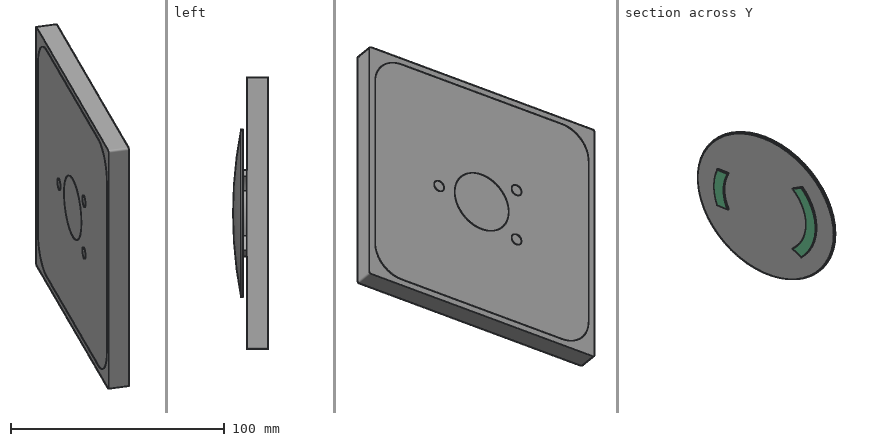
import cadquery as cq
import math

plate_size = 127.0
plate_thickness = 9.9
plate_corner_radius = 1.0

mark_depth = 0.1
panel_margin = 3.3
panel_size = plate_size - 2 * panel_margin
panel_corner_radius = 15.0
center_mark_diameter = 30.5
small_mark_diameter = 5.6
small_mark_circle_radius = 24.0
small_mark_angles = (-35, 35, 180)

spacer_height = 1.7
spacer_inner_radius = 23.5
spacer_outer_radius = 29.2
left_spacer_half_width = 10.4
right_spacer_corner_x = 20.8
right_spacer_corner_z = 20.2
right_spacer_end_angle = 30

total_depth = 16.5
disc_radius = 39.2
rim_thickness = 1.1
rim_chamfer = 0.4
disc_start = plate_thickness + spacer_height
rim_end = disc_start + rim_thickness


def front_plane(y):
    """Sketch plane parallel to the front face, with X right and Z up."""
    return cq.Workplane("XZ", origin=(0, y, 0))


def cylinder_along_y(diameter, start, length):
    """Cylinder along Y, starting at y = start."""
    return front_plane(start).circle(diameter / 2).extrude(-length)


def make_plate():
    plate = front_plane(0).rect(plate_size, plate_size).extrude(-plate_thickness)
    return plate.edges("|Y").fillet(plate_corner_radius)


def recess_front_outlines(body):
    """Recess the rounded panel, then the circles one step deeper."""
    panel = front_plane(0).rect(panel_size, panel_size).extrude(-mark_depth)
    body = body.cut(panel.edges("|Y").fillet(panel_corner_radius))
    circle_depth = 2 * mark_depth
    body = body.cut(cylinder_along_y(center_mark_diameter, 0, circle_depth))
    for angle in small_mark_angles:
        x = small_mark_circle_radius * math.cos(math.radians(angle))
        z = small_mark_circle_radius * math.sin(math.radians(angle))
        mark = cylinder_along_y(small_mark_diameter, 0, circle_depth)
        body = body.cut(mark.translate((x, 0, z)))
    return body


def make_spacers():
    """Two ring segments: a narrow one at -X and a wide one at +X."""
    ring = (
        front_plane(plate_thickness)
        .circle(spacer_outer_radius)
        .circle(spacer_inner_radius)
        .extrude(-spacer_height)
    )
    reach = disc_radius
    left_window = (
        front_plane(plate_thickness)
        .center(-reach / 2, 0)
        .rect(reach, 2 * left_spacer_half_width)
        .extrude(-spacer_height)
    )
    slope = math.tan(math.radians(right_spacer_end_angle))
    end_z_at_axis = right_spacer_corner_z - slope * right_spacer_corner_x
    end_z_at_reach = end_z_at_axis + slope * reach
    right_window = (
        front_plane(plate_thickness)
        .polyline([
            (0, -end_z_at_axis),
            (reach, -end_z_at_reach),
            (reach, end_z_at_reach),
            (0, end_z_at_axis),
        ])
        .close()
        .extrude(-spacer_height)
    )
    return ring.intersect(left_window.union(right_window))


def make_domed_disc():
    """Revolve a thin rim and a spherical crown about the Y axis."""
    crown_height = total_depth - rim_end
    sphere_radius = (disc_radius**2 + crown_height**2) / (2 * crown_height)
    middle_radius = disc_radius / 2
    middle_y = total_depth - sphere_radius + math.sqrt(sphere_radius**2 - middle_radius**2)
    return (
        cq.Workplane("XY")
        .moveTo(0, disc_start)
        .lineTo(disc_radius - rim_chamfer, disc_start)
        .lineTo(disc_radius, disc_start + rim_chamfer)
        .lineTo(disc_radius, rim_end)
        .threePointArc((middle_radius, middle_y), (0, total_depth))
        .close()
        .revolve(360, (0, 0, 0), (0, 1, 0))
    )


plate = recess_front_outlines(make_plate())
result = plate.union(make_spacers()).union(make_domed_disc())